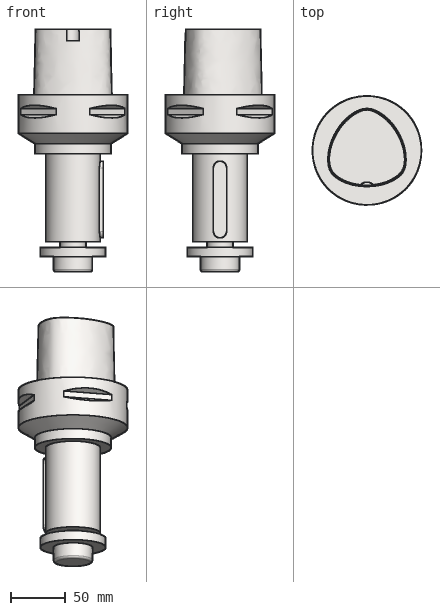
import cadquery as cq
import math

total_height = 222.0
flange_top = 162.0
flange_bottom = 126.5
boss_top = 117.2
boss_bottom = 108.0
arbor_bottom = 27.3
washer_top = 22.5
washer_bottom = 14.0

flange_diameter = 100.0
boss_diameter = 70.0
arbor_diameter = 50.0
neck_diameter = 24.0
washer_diameter = 60.0
head_diameter = 35.7
head_edge_radius = 2.2

shank_base_radius = 35.7
shank_top_radius = 34.5
lobe_height = 2.7
lobe_count = 3
profile_points = 72

notch_radius = 7.0
notch_inner_y = -28.9
notch_height = 10.9

recess_count = 4
recess_start_angle = 45.0
recess_z = 146.5
recess_floor_distance = 44.5
recess_floor_height = 5.3
recess_flank_angle = 30.0
recess_cutter_overhang = 2.2

key_width = 12.0
key_top = 101.2
key_bottom = 31.0
key_outer_x = 27.8
key_inner_x = 17.8


def cylinder(diameter, bottom, top):
    return cq.Workplane("XY", origin=(0, 0, bottom)).circle(diameter / 2).extrude(top - bottom)


def make_turned_body():
    """Flange, cone, boss, arbor, neck, washer and screw head along Z."""
    flange = cylinder(flange_diameter, flange_bottom, flange_top)
    cone = (
        cq.Workplane("XY", origin=(0, 0, boss_top))
        .circle(boss_diameter / 2)
        .workplane(offset=flange_bottom - boss_top)
        .circle(flange_diameter / 2)
        .loft(ruled=True)
    )
    boss = cylinder(boss_diameter, boss_bottom, boss_top)
    arbor = cylinder(arbor_diameter, arbor_bottom, boss_bottom)
    neck = cylinder(neck_diameter, washer_top, arbor_bottom)
    washer = cylinder(washer_diameter, washer_bottom, washer_top)
    head = cylinder(head_diameter, 0, washer_bottom).faces("<Z").edges().fillet(head_edge_radius)
    return flange.union(cone).union(boss).union(arbor).union(neck).union(washer).union(head)


def shank_point(mean_radius, angle):
    """Point whose outward normal is at the angle, measured from the +Y lobe."""
    support = mean_radius + lobe_height * math.cos(lobe_count * angle)
    slope = -lobe_count * lobe_height * math.sin(lobe_count * angle)
    along_lobe = support * math.cos(angle) - slope * math.sin(angle)
    across_lobe = support * math.sin(angle) + slope * math.cos(angle)
    return (-across_lobe, along_lobe)


def shank_profile(mean_radius):
    step = 2 * math.pi / profile_points
    return [shank_point(mean_radius, i * step) for i in range(profile_points)]


def make_shank():
    shank = (
        cq.Workplane("XY", origin=(0, 0, flange_top))
        .spline(shank_profile(shank_base_radius), periodic=True)
        .close()
        .workplane(offset=total_height - flange_top)
        .spline(shank_profile(shank_top_radius), periodic=True)
        .close()
        .loft(ruled=True)
    )
    notch = cylinder(2 * notch_radius, total_height - notch_height, total_height)
    return shank.cut(notch.translate((0, notch_inner_y - notch_radius, 0)))


def make_recess_cutter():
    """Bar along Y with a section that widens outward from a flat floor."""
    outer_x = flange_diameter / 2 + recess_cutter_overhang
    half_floor = recess_floor_height / 2
    flank_rise = (outer_x - recess_floor_distance) * math.tan(math.radians(recess_flank_angle))
    half_mouth = half_floor + flank_rise
    section = [
        (recess_floor_distance, recess_z - half_floor),
        (outer_x, recess_z - half_mouth),
        (outer_x, recess_z + half_mouth),
        (recess_floor_distance, recess_z + half_floor),
    ]
    return cq.Workplane("XZ").polyline(section).close().extrude(flange_diameter / 2, both=True)


def make_key():
    return (
        cq.Workplane("YZ", origin=(key_inner_x, 0, (key_top + key_bottom) / 2))
        .slot2D(key_top - key_bottom, key_width, 90)
        .extrude(key_outer_x - key_inner_x)
    )


result = make_turned_body().union(make_shank()).union(make_key())

for i in range(recess_count):
    recess_angle = recess_start_angle + i * 360 / recess_count
    result = result.cut(make_recess_cutter().rotate((0, 0, 0), (0, 0, 1), recess_angle))